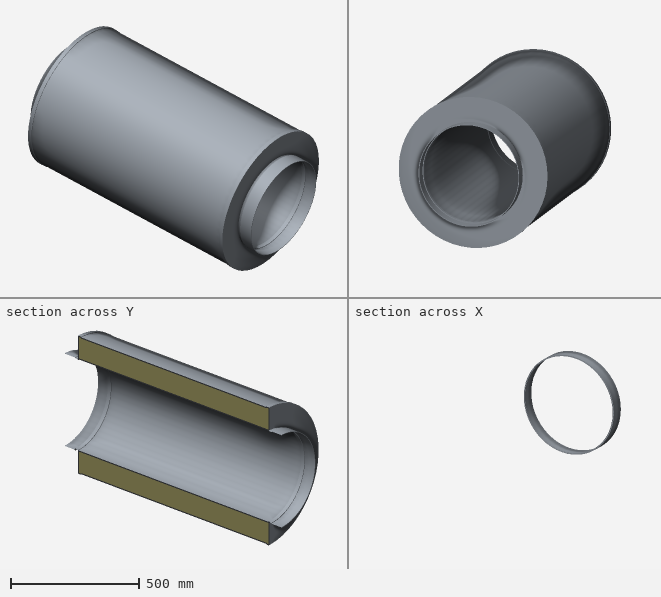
import cadquery as cq

total_length = 1102.0
sheet = 2.8
bore_diameter = 395.0
shell_diameter = 594.0
collar_length = 54.0
neck_length = 11.0
cap_width = 17.0

neck_diameter = bore_diameter + 2 * sheet
collar_diameter = neck_diameter + 2 * sheet
cap_diameter = shell_diameter + 2 * sheet
core_diameter = neck_diameter

connection_length = collar_length + neck_length
body_length = total_length - 2 * connection_length

socket_depth = collar_length - sheet
core_length = body_length - 2 * sheet


def cylinder(diameter, start, length):
    """Solid cylinder along +X, beginning at X = start."""
    return cq.Workplane("YZ", origin=(start, 0, 0)).circle(diameter / 2).extrude(length)


def build_end():
    """Cap, neck and collar at the -X end, as solid cylinders."""
    end_face = -total_length / 2
    cap_face = end_face + connection_length
    cap = cylinder(cap_diameter, cap_face, cap_width)
    neck = cylinder(neck_diameter, end_face, connection_length)
    collar = cylinder(collar_diameter, end_face, collar_length)
    return cap.union(neck).union(collar)


shell = cylinder(shell_diameter, -body_length / 2, body_length)
end = build_end()
outside = shell.union(end).union(end.mirror("YZ"))

bore = cylinder(bore_diameter, -total_length / 2, total_length)
core = cylinder(core_diameter, -core_length / 2, core_length)
collar_socket = cylinder(neck_diameter, -total_length / 2, socket_depth)
opening = bore.union(core).union(collar_socket).union(collar_socket.mirror("YZ"))

result = outside.cut(opening)